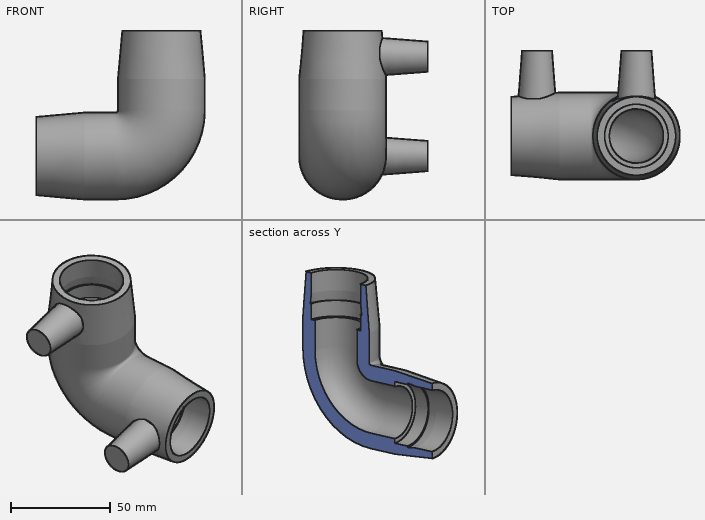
import cadquery as cq

side_length = 85.2
body_diameter = 44.0
end_diameter = 39.5
taper_length = 24.4
straight_length = 15.8

socket_diameter = 32.0
groove_start = 10.8
groove_end = 16.1
groove_diameter = 33.4
passage_diameter = 27.3

boss_distance = 13.1
boss_tip_diameter = 15.3
boss_root_diameter = 19.1
boss_root_y = 18.75
boss_tip_y = 43.0

body_radius = body_diameter / 2
arm_length = taper_length + straight_length
axis_reach = side_length - body_radius
bend_radius = axis_reach - arm_length

arm_ends = [
    (cq.Vector(-axis_reach, 0, 0), cq.Vector(1, 0, 0)),
    (cq.Vector(0, 0, axis_reach), cq.Vector(0, 0, -1)),
]


def bend(diameter):
    """Round quarter bend joining the inner ends of the two arms."""
    path = cq.Workplane("XZ").moveTo(-bend_radius, 0).radiusArc((0, bend_radius), -bend_radius)
    section = cq.Workplane("YZ", origin=(-bend_radius, 0, 0)).circle(diameter / 2)
    return section.sweep(path)


def cylinder(end, inward, diameter, start, stop):
    """Cylinder on an arm axis between two depths from its open end."""
    return cq.Solid.makeCylinder(diameter / 2, stop - start, end + inward * start, inward)


def cone(end, inward, start_diameter, stop_diameter, start, stop):
    """Cone on an arm axis between two depths from its open end."""
    return cq.Solid.makeCone(
        start_diameter / 2, stop_diameter / 2, stop - start, end + inward * start, inward
    )


def boss(end, inward):
    """Terminal boss standing on an arm and narrowing toward its tip."""
    root = end + inward * boss_distance + cq.Vector(0, boss_root_y, 0)
    return cq.Solid.makeCone(
        boss_root_diameter / 2, boss_tip_diameter / 2, boss_tip_y - boss_root_y, root, cq.Vector(0, 1, 0)
    )


result = bend(body_diameter)
for end, inward in arm_ends:
    result = result.union(cylinder(end, inward, body_diameter, taper_length, arm_length))
    result = result.union(cone(end, inward, end_diameter, body_diameter, 0, taper_length))
    result = result.union(boss(end, inward))

result = result.cut(bend(passage_diameter))
for end, inward in arm_ends:
    result = result.cut(cylinder(end, inward, passage_diameter, 0, arm_length))
    result = result.cut(cylinder(end, inward, socket_diameter, 0, taper_length))
    result = result.cut(cone(end, inward, socket_diameter, groove_diameter, groove_start, groove_end))